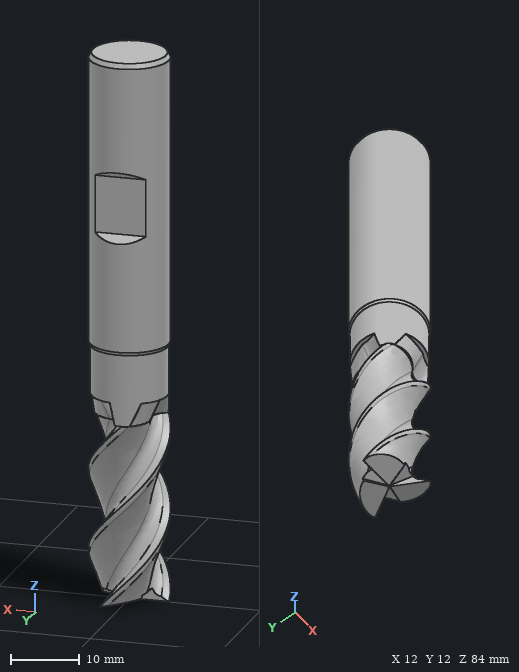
import cadquery as cq
import math

tool_length = 84.0
tool_diameter = 12.0
tool_radius = tool_diameter / 2
overcut = 0.8

top_chamfer_height = 0.75
top_chamfer_width = 0.4
neck_radius = 5.8
shoulder_bottom = 39.15
shoulder_top = 39.65
flat_centre = 61.7
flat_length = 8.7
flat_mouth_length = 10.9
flat_depth = 1.4

cutter_length = 28.2
flute_count = 3
helix_lead = 37.0
first_edge_angle = 180.0
flute_pitch = 360.0 / flute_count

land_angle = 10.0
land_heel_radius = 5.9
back_middle_radius = 4.7
back_middle_angle = 38.0
heel_radius = 3.5
heel_angle = 77.0
flute_root_radius = 3.45
flute_root_angle = 100.0
rake_start_radius = 4.9
rake_start_angle = 113.0

runout_top = 31.7
runout_clearance_radius = 7.6
base_start_angle, base_end_angle = 12.0, 110.0
base_root_angle = 90.0
top_start_angle, top_end_angle = 29.0, 102.0
top_floor_radius = 5.2
top_crease_angle = 75.0

relief_slope = 15.0
gash_centre_height = 0.25
gash_rise_per_length = 0.45
gash_angle = 45.0


def polar(radius, angle):
    """Point at an angle in degrees about the tool axis."""
    turn = math.radians(angle)
    return (radius * math.cos(turn), radius * math.sin(turn))


def helix_turn(height):
    """Angle in degrees that the flutes turn through over a height."""
    return 360.0 * height / helix_lead


def cutter_bar():
    """Twisted bar of the tooth section, with a cutting edge at the first edge angle at its base."""
    outline = cq.Workplane("XY").moveTo(*polar(tool_radius, first_edge_angle))
    for tooth in range(flute_count):
        edge = first_edge_angle + tooth * flute_pitch
        outline = (
            outline
            .threePointArc(polar(tool_radius, edge + land_angle / 2),
                           polar(land_heel_radius, edge + land_angle))
            .threePointArc(polar(back_middle_radius, edge + back_middle_angle),
                           polar(heel_radius, edge + heel_angle))
            .threePointArc(polar(flute_root_radius, edge + flute_root_angle),
                           polar(rake_start_radius, edge + rake_start_angle))
            .lineTo(*polar(tool_radius, edge + flute_pitch))
        )
    return outline.close().twistExtrude(cutter_length, helix_turn(cutter_length))


def end_relief():
    """Wedge that lifts a tooth end away behind an edge lying along +X."""
    reach = tool_radius + overcut
    rise = reach * math.tan(math.radians(relief_slope))
    wedge = (
        cq.Workplane("YZ").workplane(offset=-reach)
        .polyline([(0, 0), (reach, rise), (reach, -overcut), (0, -overcut)]).close()
        .extrude(2 * reach)
    )
    sector = (
        cq.Workplane("XY").workplane(offset=-overcut)
        .lineTo(reach, 0)
        .threePointArc(polar(reach, flute_pitch / 2), polar(reach, flute_pitch))
        .close().extrude(rise + 2 * overcut)
    )
    return wedge.intersect(sector)


def end_gash():
    """Notch in front of an edge lying along +X, its roof rising away from the tool axis."""
    reach = tool_radius + overcut
    roof_end = gash_centre_height + gash_rise_per_length * reach
    below_roof = (
        cq.Workplane("XZ")
        .polyline([(0, -overcut), (0, gash_centre_height), (reach, roof_end), (reach, -overcut)]).close()
        .extrude(reach)
    )
    sector = (
        cq.Workplane("XY").workplane(offset=-overcut)
        .lineTo(reach, 0)
        .threePointArc(polar(reach, -gash_angle / 2), polar(reach, -gash_angle))
        .close().extrude(roof_end + 2 * overcut)
    )
    return below_roof.intersect(sector)


def make_cutter():
    """Three-flute helical cutting end with relieved and gashed teeth."""
    cutter = cutter_bar()
    for tooth in range(flute_count):
        edge = first_edge_angle + tooth * flute_pitch
        for notch in (end_relief(), end_gash()):
            cutter = cutter.cut(notch.rotate((0, 0, 0), (0, 0, 1), edge))
    return cutter


def clamping_flat():
    """Cutter for the clamping flat with sloped ends on the +Y side."""
    floor = tool_radius - flat_depth
    end_run = (flat_mouth_length - flat_length) / 2
    extra_run = end_run * overcut / flat_depth
    half_floor = flat_length / 2
    half_mouth = flat_mouth_length / 2 + extra_run
    outer = tool_radius + overcut
    return (
        cq.Workplane("YZ")
        .polyline([
            (floor, flat_centre - half_floor),
            (floor, flat_centre + half_floor),
            (outer, flat_centre + half_mouth),
            (outer, flat_centre - half_mouth),
        ]).close()
        .extrude(tool_radius, both=True)
    )


def runout_outline(height, start_angle, crease, root, end_angle, back_radius):
    """Closed outline of one run-out pocket; crease and root are (radius, angle) pairs on its floor."""
    start = polar(neck_radius, start_angle)
    end = polar(neck_radius, end_angle)
    back_middle = polar(back_radius, start_angle + (crease[1] - start_angle) / 2)
    outside = polar(runout_clearance_radius, (start_angle + end_angle) / 2)
    outline = (
        cq.Workplane("XY").workplane(offset=height).moveTo(*start)
        .threePointArc(back_middle, polar(*crease))
        .threePointArc(polar(*root), end)
        .threePointArc(outside, start)
        .close()
    )
    return outline.val()


def runout_pocket(edge):
    """Pocket that continues a flute into the neck and gets shallower upward."""
    top_crease = edge + top_crease_angle
    top_end = edge + top_end_angle
    base_outline = runout_outline(
        cutter_length, edge + base_start_angle, (heel_radius, edge + heel_angle),
        (flute_root_radius, edge + base_root_angle), edge + base_end_angle, back_middle_radius,
    )
    top_outline = runout_outline(
        runout_top, edge + top_start_angle, (top_floor_radius, top_crease),
        (top_floor_radius, (top_crease + top_end) / 2), top_end, top_floor_radius,
    )
    return cq.Workplane(cq.Solid.makeLoft([base_outline, top_outline], True))


def make_shank():
    """Shank and neck, with the flutes running out in the lower end of the neck."""
    body = (
        cq.Workplane("XZ").moveTo(0, cutter_length)
        .lineTo(neck_radius, cutter_length)
        .lineTo(neck_radius, shoulder_bottom)
        .lineTo(tool_radius, shoulder_top)
        .lineTo(tool_radius, tool_length - top_chamfer_height)
        .lineTo(tool_radius - top_chamfer_width, tool_length)
        .lineTo(0, tool_length)
        .close().revolve(360, (0, 0), (0, 1))
    )
    for flute in range(flute_count):
        edge = first_edge_angle + helix_turn(cutter_length) + flute * flute_pitch
        body = body.cut(runout_pocket(edge))
    return body.cut(clamping_flat())


cutter = make_cutter()
shank = make_shank()

result = cq.Compound.makeCompound([cutter.val(), shank.val()])